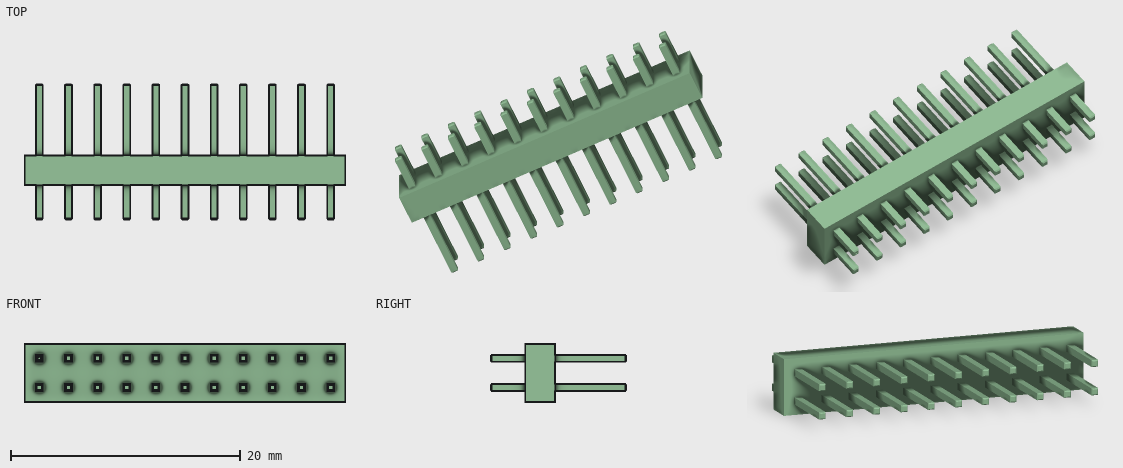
import cadquery as cq

pitch = 2.54
columns = 11
rows = 2

body_length = columns * pitch
body_depth = 2.6
body_height = rows * pitch

pin_width = 0.62
pin_front_length = 3.0
pin_back_length = 6.2
tip_chamfer = 0.1

mark_diameter = 0.3
mark_depth = 0.1

pin_length = pin_front_length + body_depth + pin_back_length
pin_center_y = (pin_back_length - pin_front_length) / 2
pin_front_y = pin_center_y - pin_length / 2


def column_x(column):
    """X of a pin column, counted from the -X end."""
    return (column - (columns - 1) / 2) * pitch


def row_z(row):
    """Z of a pin row, counted from the bottom."""
    return (row - (rows - 1) / 2) * pitch


def make_body():
    """Rectangular block centred on the origin."""
    return cq.Workplane("XY").box(body_length, body_depth, body_height)


def make_pin(x, z):
    """Square pin along Y with the edges of both end faces chamfered."""
    pin = cq.Workplane("XY").box(pin_width, pin_length, pin_width)
    pin = pin.faces("<Y or >Y").chamfer(tip_chamfer)
    return pin.translate((x, pin_center_y, z))


def make_pin_1_mark():
    """Cutter for the blind round mark in the top pin at the -X end."""
    tip_center = (column_x(0), pin_front_y, row_z(rows - 1))
    tip_plane = cq.Workplane("XZ", origin=tip_center)
    return tip_plane.circle(mark_diameter / 2).extrude(-mark_depth)


result = make_body()
for column in range(columns):
    for row in range(rows):
        result = result.union(make_pin(column_x(column), row_z(row)))
result = result.cut(make_pin_1_mark())